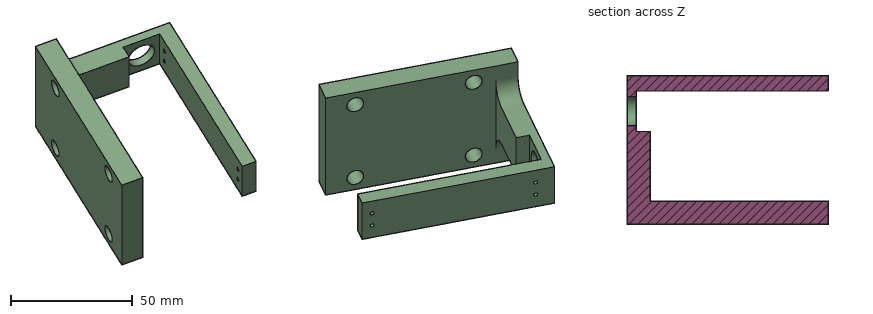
import cadquery as cq

length = 82.55
plate_height = 50.8
plate_thickness = 9.525
mount_hole_diameter = 7.14
mount_hole_spacing_x = 50.8
mount_hole_spacing_z = 38.1
mount_hole_first_x = 19.05

depth = 61.04
web_height = 19.05
web_thickness = 9.525
thin_web_thickness = 3.81
web_step_y = 38.1
web_fillet_radius = 7.9375

arm_thickness = 6.35
arm_inner_y = depth - arm_thickness

web_hole_diameter = 11.9
web_hole_y = (web_step_y + arm_inner_y) / 2

pin_hole_diameter = 1.6
pin_hole_spacing_z = 6.35
pin_hole_end_margin = 4.3
pin_hole_near_x = thin_web_thickness + pin_hole_end_margin
pin_hole_far_x = length - pin_hole_end_margin


def box(x_size, y_start, y_end, z_size):
    """Block starting at X = 0 and centred on Z = 0."""
    block = cq.Workplane("XY").box(x_size, y_end - y_start, z_size, centered=(False, False, True))
    return block.translate((0, y_start, 0))


def hole_along_y(diameter, x, z, y_start, y_end):
    """Cylinder parallel to Y, used as a cutter."""
    circle = cq.Workplane("XZ", origin=(x, y_start, z)).circle(diameter / 2)
    return circle.extrude(y_start - y_end)


def make_web():
    """Web with flared roots at the plate and a thinner stretch beside the arm."""
    half_web = web_height / 2
    half_root = half_web + web_fillet_radius
    root_end_y = plate_thickness + web_fillet_radius
    flare = (
        cq.Workplane("YZ")
        .moveTo(plate_thickness, -half_root)
        .radiusArc((root_end_y, -half_web), web_fillet_radius)
        .lineTo(root_end_y, half_web)
        .radiusArc((plate_thickness, half_root), web_fillet_radius)
        .close()
        .extrude(web_thickness)
    )
    thick_web = box(web_thickness, plate_thickness, web_step_y, web_height)
    thin_web = box(thin_web_thickness, web_step_y, depth, web_height)
    return flare.union(thick_web).union(thin_web)


def cut_mount_holes(body):
    for x in (mount_hole_first_x, mount_hole_first_x + mount_hole_spacing_x):
        for z in (-mount_hole_spacing_z / 2, mount_hole_spacing_z / 2):
            body = body.cut(hole_along_y(mount_hole_diameter, x, z, 0, plate_thickness))
    return body


def cut_web_hole(body):
    cutter = (
        cq.Workplane("YZ", origin=(0, web_hole_y, 0))
        .circle(web_hole_diameter / 2)
        .extrude(thin_web_thickness)
    )
    return body.cut(cutter)


def cut_pin_holes(body):
    for x in (pin_hole_near_x, pin_hole_far_x):
        for z in (-pin_hole_spacing_z / 2, pin_hole_spacing_z / 2):
            body = body.cut(hole_along_y(pin_hole_diameter, x, z, arm_inner_y, depth))
    return body


plate = box(length, 0, plate_thickness, plate_height)
arm = box(length, arm_inner_y, depth, web_height)
bracket = plate.union(make_web()).union(arm)
bracket = cut_mount_holes(bracket)
bracket = cut_web_hole(bracket)
result = cut_pin_holes(bracket)